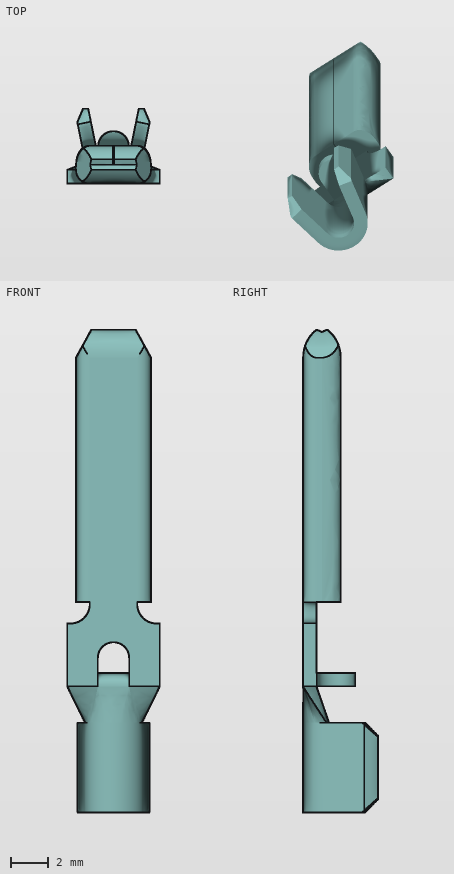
import cadquery as cq
import math

total_length = 25.48
sheet = 0.72

barrel_length = 4.75
barrel_outer_radius = 1.54
barrel_inner_radius = barrel_outer_radius - sheet
wing_lean = math.radians(11.5)
wing_top_y = 3.96
bend_angle = math.pi / 2 - wing_lean
wing_straight_length = 2.05
wing_tip_width = 0.28
wing_tip_x = 1.47
wing_corner_lead = 0.12
wing_corner_size = 1.2

plate_bottom_z = 6.65
transition_split_angle = math.radians(54)

plate_width = 4.89
plate_top_z = 9.98
tab_width = 2 * barrel_inner_radius
tab_end_y = 2.77
window_top_z = 8.98

neck_width = 2.52
neck_fillet_radius = 1.0
pin_bottom_z = 11.1
pin_width = 3.96
pin_thickness = 2.0
pin_seam_y = pin_thickness / 2
pin_seam_gap = 0.06

tip_start_z = 24.0
tip_height = total_length - tip_start_z
tip_half_width = 1.17
tip_run_in = 0.72
tip_notch_depth = 0.12


def on_barrel(radius, angle):
    """Point of the barrel section at an angle from the lowest point, towards +X."""
    return (radius * math.sin(angle), barrel_outer_radius - radius * math.cos(angle))


def mirrored(point):
    return (-point[0], point[1])


def make_barrel():
    cradle = (
        cq.Workplane("XY")
        .moveTo(*mirrored(on_barrel(barrel_outer_radius, bend_angle)))
        .threePointArc(on_barrel(barrel_outer_radius, 0), on_barrel(barrel_outer_radius, bend_angle))
        .lineTo(*on_barrel(barrel_inner_radius, bend_angle))
        .threePointArc(
            on_barrel(barrel_inner_radius, 0), mirrored(on_barrel(barrel_inner_radius, bend_angle))
        )
        .close()
        .extrude(barrel_length)
    )
    wing = make_wing()
    return cradle.union(wing).union(wing.mirror("YZ"))


def make_wing():
    """Wing on the +X side, tapered to its tip, with both end corners cut at 45 degrees."""
    outer_root = on_barrel(barrel_outer_radius, bend_angle)
    inner_root = on_barrel(barrel_inner_radius, bend_angle)
    step_x = wing_straight_length * math.sin(wing_lean)
    step_y = wing_straight_length * math.cos(wing_lean)
    outer_taper_start = (outer_root[0] + step_x, outer_root[1] + step_y)
    outline = [
        outer_root,
        outer_taper_start,
        (wing_tip_x + wing_tip_width / 2, wing_top_y),
        (wing_tip_x - wing_tip_width / 2, wing_top_y),
        (inner_root[0] + step_x, inner_root[1] + step_y),
        inner_root,
    ]
    corner = (
        cq.Workplane("YZ")
        .polyline([(0, 0), (wing_corner_size, 0), (wing_corner_size, wing_corner_size)])
        .close()
        .extrude(wing_corner_size, both=True)
        .rotate((0, 0, 0), (0, 0, 1), -math.degrees(wing_lean))
        .translate((outer_taper_start[0], outer_taper_start[1] - wing_corner_lead, 0))
    )
    top_corner = corner.mirror("XY").translate((0, 0, barrel_length))
    wing = cq.Workplane("XY").polyline(outline).close().extrude(barrel_length)
    return wing.cut(corner).cut(top_corner)


def make_transition():
    """Ruled blend from the barrel arc to the straight strip of the plate, three faces per side."""
    split = transition_split_angle
    angles = [-bend_angle, -split, split, bend_angle]

    def arc_to(section, radius, start, end):
        return section.threePointArc(on_barrel(radius, (start + end) / 2), on_barrel(radius, end))

    section = (
        cq.Workplane("XY", origin=(0, 0, barrel_length))
        .moveTo(*on_barrel(barrel_outer_radius, -bend_angle))
    )
    for start, end in zip(angles, angles[1:]):
        section = arc_to(section, barrel_outer_radius, start, end)
    section = section.lineTo(*on_barrel(barrel_inner_radius, bend_angle))
    for start, end in zip(angles, angles[1:]):
        section = arc_to(section, barrel_inner_radius, -start, -end)

    stations = [-plate_width / 2, -tab_width / 2, tab_width / 2, plate_width / 2]
    front_edge = [(x, 0) for x in stations]
    back_edge = [(-x, sheet) for x in stations]
    return (
        section.close()
        .workplane(offset=plate_bottom_z - barrel_length)
        .polyline(front_edge + back_edge)
        .close()
        .loft(ruled=True)
    )


def make_plate():
    half_plate = plate_width / 2
    half_neck = neck_width / 2
    fillet_end_x = half_neck + neck_fillet_radius
    fillet_top_z = plate_top_z + neck_fillet_radius
    fillet_mid_x = fillet_end_x - neck_fillet_radius * math.sqrt(0.5)
    fillet_mid_z = fillet_top_z - neck_fillet_radius * math.sqrt(0.5)
    plate = (
        cq.Workplane("XZ")
        .moveTo(-half_plate, plate_bottom_z)
        .lineTo(half_plate, plate_bottom_z)
        .lineTo(half_plate, plate_top_z)
        .lineTo(fillet_end_x, plate_top_z)
        .threePointArc((fillet_mid_x, fillet_mid_z), (half_neck, fillet_top_z))
        .lineTo(half_neck, pin_bottom_z)
        .lineTo(-half_neck, pin_bottom_z)
        .lineTo(-half_neck, fillet_top_z)
        .threePointArc((-fillet_mid_x, fillet_mid_z), (-fillet_end_x, plate_top_z))
        .lineTo(-half_plate, plate_top_z)
        .close()
        .extrude(-sheet)
    )
    half_window = tab_width / 2
    window = (
        cq.Workplane("XZ")
        .moveTo(-half_window, plate_bottom_z)
        .lineTo(half_window, plate_bottom_z)
        .lineTo(half_window, window_top_z - half_window)
        .threePointArc((0, window_top_z), (-half_window, window_top_z - half_window))
        .close()
        .extrude(-sheet)
    )
    return plate.cut(window)


def make_tab():
    """Tab bent backwards about the inner edge of the window sill, with a round end."""
    half_tab = tab_width / 2
    round_start_y = tab_end_y - half_tab
    bend = (
        cq.Workplane("YZ", origin=(-half_tab, 0, 0))
        .moveTo(0, plate_bottom_z)
        .radiusArc((sheet, plate_bottom_z + sheet), sheet)
        .lineTo(sheet, plate_bottom_z)
        .close()
        .extrude(tab_width)
    )
    tongue = (
        cq.Workplane("XY", origin=(0, 0, plate_bottom_z))
        .moveTo(-half_tab, sheet)
        .lineTo(half_tab, sheet)
        .lineTo(half_tab, round_start_y)
        .threePointArc((0, tab_end_y), (-half_tab, round_start_y))
        .close()
        .extrude(sheet)
    )
    return bend.union(tongue)


def make_pin():
    """Pin with a flat front, rounded sides and a narrow seam along the middle of its back."""
    half_flat = neck_width / 2
    half_pin = pin_width / 2
    round_width = half_pin - half_flat
    back_rise = pin_thickness - pin_seam_y
    body = (
        cq.Workplane("XY", origin=(0, 0, pin_bottom_z))
        .moveTo(-half_flat, 0)
        .lineTo(half_flat, 0)
        .radiusArc((half_pin, round_width), -round_width)
        .lineTo(half_pin, pin_seam_y)
        .ellipseArc(round_width, back_rise, 0, 90)
        .lineTo(-half_flat, pin_thickness)
        .ellipseArc(round_width, back_rise, 90, 180)
        .lineTo(-half_pin, round_width)
        .radiusArc((-half_flat, 0), -round_width)
        .close()
        .extrude(total_length - pin_bottom_z)
    )
    seam = (
        cq.Workplane("XY", origin=(0, 0, pin_bottom_z))
        .center(0, (pin_seam_y + pin_thickness) / 2)
        .rect(pin_seam_gap, pin_thickness - pin_seam_y)
        .extrude(total_length - pin_bottom_z)
    )
    return body.intersect(make_tip_side_profile()).intersect(make_tip_front_profile()).cut(seam)


def make_tip_side_profile():
    """Rounded nose on both faces, with a shallow V where the folded layers meet."""
    nose_radius = (tip_run_in**2 + tip_height**2) / (2 * tip_run_in)
    return (
        cq.Workplane("YZ", origin=(-pin_width / 2, 0, 0))
        .moveTo(0, pin_bottom_z)
        .lineTo(0, tip_start_z)
        .radiusArc((tip_run_in, total_length), nose_radius)
        .lineTo(pin_seam_y, total_length - tip_notch_depth)
        .lineTo(pin_thickness - tip_run_in, total_length)
        .radiusArc((pin_thickness, tip_start_z), nose_radius)
        .lineTo(pin_thickness, pin_bottom_z)
        .close()
        .extrude(pin_width)
    )


def make_tip_front_profile():
    """Pin outline seen along Y, with both sides sloping in to the tip."""
    half_pin = pin_width / 2
    return (
        cq.Workplane("XZ")
        .polyline(
            [
                (-half_pin, pin_bottom_z),
                (half_pin, pin_bottom_z),
                (half_pin, tip_start_z),
                (tip_half_width, total_length),
                (-tip_half_width, total_length),
                (-half_pin, tip_start_z),
            ]
        )
        .close()
        .extrude(-pin_thickness)
    )


result = make_barrel().union(make_transition()).union(make_plate()).union(make_tab()).union(make_pin())